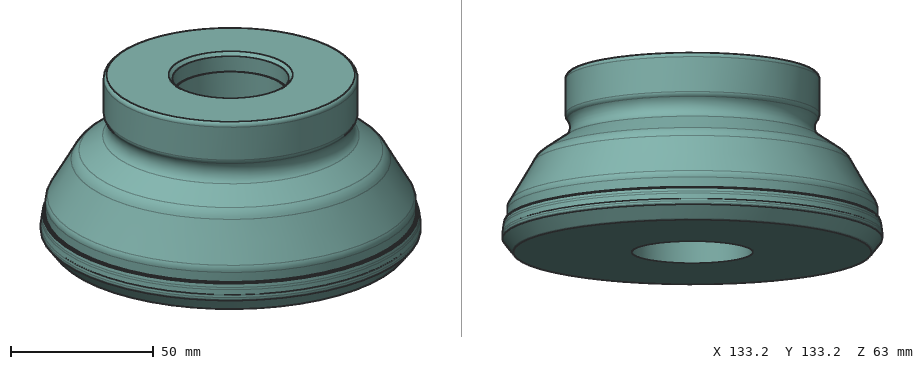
import cadquery as cq
import math

height = 63.0

collar_radius = 44.5
rim_depth = 1.6
top_rim_inset = 1.0
lower_rim_inset = 0.7
collar_bottom = 47.5

neck_radius = 42.9
neck_mid = 44.8
neck_bottom_radius = 44.9
neck_bottom = 40.3

shoulder_top_radius = 53.2
shoulder_top = 34.7
shoulder_mid_radius = 54.8
shoulder_mid = 33.2
shoulder_bottom_radius = 56.0
shoulder_bottom = 31.3
skirt_radius = 64.9
skirt_cone_radius = 64.2
skirt_cone_bottom = 17.3
skirt_bend_radius = 64.8
skirt_bend = 16.1
skirt_wall_top = 14.9

ring_top_radius = 65.8
ring_top = 11.3
ring_top_break = 0.4
step_top = 9.7
step_bottom = 8.9
step_upper_radius = 66.1
step_lower_radius = 66.2
taper_bottom = 6.9
taper_bottom_radius = 66.5
ring_radius = 66.6
rim_top = 6.1
rim_break = 5.3
rim_bottom = 4.8
rim_bottom_radius = 66.5
ring_bottom_radius = 62.6
bottom_break = 0.4
ring_wall = 0.4

mouth_radius = 20.4
mouth_chamfer = 1.3
mouth_bottom = 56.0
bore_radius = 20.0
bore_bottom = 36.8
clearance_radius = 21.2
clearance_cone_angle = 30


def rim_round(inset):
    return (inset**2 + rim_depth**2) / (2 * inset)


def revolve(profile):
    return profile.close().revolve(360, (0, 0, 0), (0, 1, 0))


def make_hub():
    cone_height = (clearance_radius - bore_radius) / math.tan(math.radians(clearance_cone_angle))
    profile = (
        cq.Workplane("XZ")
        .moveTo(mouth_radius + mouth_chamfer, height)
        .lineTo(collar_radius - top_rim_inset, height)
        .radiusArc((collar_radius, height - rim_depth), rim_round(top_rim_inset))
        .lineTo(collar_radius, collar_bottom + rim_depth)
        .radiusArc((collar_radius - lower_rim_inset, collar_bottom), rim_round(lower_rim_inset))
        .threePointArc((neck_radius, neck_mid), (neck_bottom_radius, neck_bottom))
        .lineTo(shoulder_top_radius, shoulder_top)
        .threePointArc((shoulder_mid_radius, shoulder_mid), (shoulder_bottom_radius, shoulder_bottom))
        .lineTo(skirt_cone_radius, skirt_cone_bottom)
        .threePointArc((skirt_bend_radius, skirt_bend), (skirt_radius, skirt_wall_top))
        .lineTo(skirt_radius, ring_top - ring_wall)
        .lineTo(ring_top_radius - ring_wall, ring_top - ring_wall)
        .lineTo(taper_bottom_radius - ring_wall, taper_bottom)
        .lineTo(ring_bottom_radius, taper_bottom)
        .lineTo(ring_bottom_radius, 0)
        .lineTo(clearance_radius, 0)
        .lineTo(clearance_radius, bore_bottom - cone_height)
        .lineTo(bore_radius, bore_bottom)
        .lineTo(bore_radius, mouth_bottom)
        .lineTo(mouth_radius, mouth_bottom)
        .lineTo(mouth_radius, height - mouth_chamfer)
    )
    return revolve(profile)


def make_ring():
    profile = (
        cq.Workplane("XZ")
        .moveTo(skirt_radius, ring_top)
        .lineTo(ring_top_radius - ring_top_break, ring_top)
        .lineTo(ring_top_radius, ring_top - ring_top_break)
        .lineTo(step_upper_radius, step_top)
        .lineTo(step_lower_radius, step_bottom)
        .lineTo(taper_bottom_radius, taper_bottom)
        .lineTo(ring_radius, rim_top)
        .lineTo(ring_radius, rim_break)
        .lineTo(rim_bottom_radius, rim_bottom)
        .lineTo(ring_bottom_radius + bottom_break, bottom_break)
        .lineTo(ring_bottom_radius, 0)
        .lineTo(ring_bottom_radius, taper_bottom)
        .lineTo(taper_bottom_radius - ring_wall, taper_bottom)
        .lineTo(ring_top_radius - ring_wall, ring_top - ring_wall)
        .lineTo(skirt_radius, ring_top - ring_wall)
    )
    return revolve(profile)


hub = make_hub()
ring = make_ring()
result = cq.Compound.makeCompound([hub.val(), ring.val()])